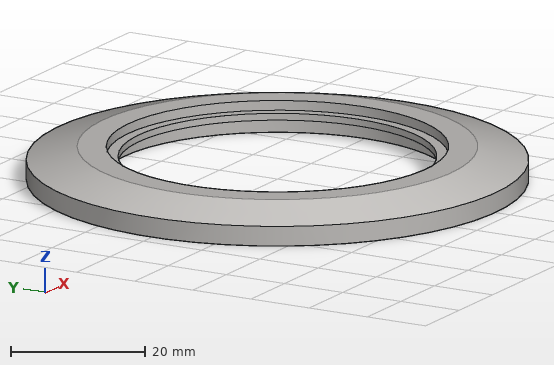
import cadquery as cq
import math

outer_diameter = 74.9
height = 5.1

top_face_diameter = 59.7
taper_angle = 15.0

bore_diameter = 47.5
counterbore_diameter = 51.0
counterbore_depth = 1.5
lip_thickness = 1.05
recess_diameter = 52.2

outer_radius = outer_diameter / 2
top_face_radius = top_face_diameter / 2
bore_radius = bore_diameter / 2
counterbore_radius = counterbore_diameter / 2
taper_drop = (outer_radius - top_face_radius) * math.tan(math.radians(taper_angle))
rim_height = height - taper_drop
ledge_height = height - counterbore_depth
lip_underside = ledge_height - lip_thickness
recess_radius = recess_diameter / 2

section = (
    cq.Workplane("XZ")
    .moveTo(recess_radius, 0)
    .lineTo(outer_radius, 0)
    .lineTo(outer_radius, rim_height)
    .lineTo(top_face_radius, height)
    .lineTo(counterbore_radius, height)
    .lineTo(counterbore_radius, ledge_height)
    .lineTo(bore_radius, ledge_height)
    .lineTo(bore_radius, lip_underside)
    .lineTo(recess_radius, lip_underside)
    .close()
)
result = section.revolve(360, (0, 0, 0), (0, 1, 0))